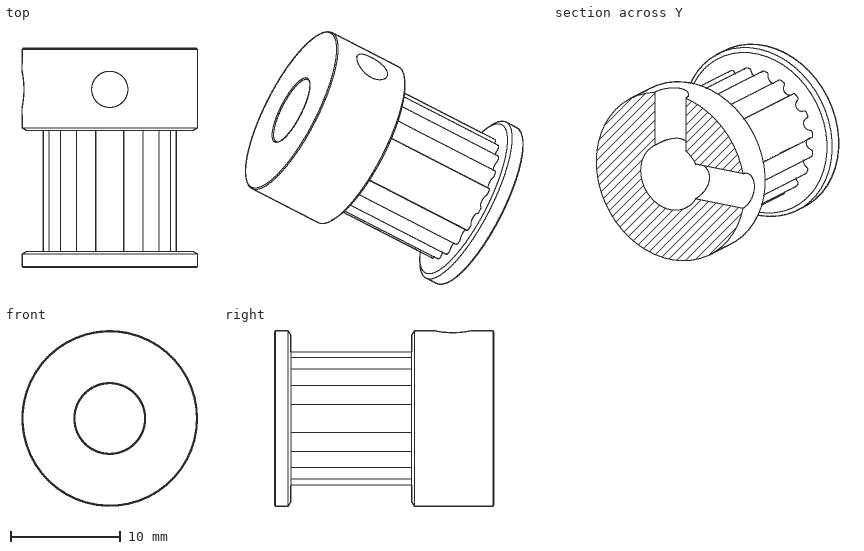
import cadquery as cq
import math


outer_diameter = 16.0
total_length = 20.0
hub_length = 7.5
flange_thickness = 1.5
bore_diameter = 6.35

end_chamfer = 0.1
bore_chamfer = 0.1
inner_chamfer_axial = 0.25
inner_chamfer_radial = 0.4

screw_hole_diameter = 3.3

tooth_count = 20
belt_pitch = 2.0
pitch_line_offset = 0.254
groove_depth = 0.75
groove_root_radius = 0.555
groove_flank_radius = 1.0
flank_center_offset = 0.4
tooth_tip_radius = 0.2

outer_radius = outer_diameter / 2
bore_radius = bore_diameter / 2
tooth_radius = tooth_count * belt_pitch / (2 * math.pi) - pitch_line_offset
flange_end = -total_length / 2
hub_end = total_length / 2
flange_inner_face = flange_end + flange_thickness
hub_inner_face = hub_end - hub_length
screw_hole_y = hub_end - hub_length / 2


def cylinder(diameter, start, end):
    """Cylinder along Y between two stations."""
    plane = cq.Workplane("XZ", origin=(0, start, 0))
    return plane.circle(diameter / 2).extrude(start - end)


def collar(end_face, inner_face):
    """Disc with a fine chamfer on its end face and a larger one facing the teeth."""
    inward = math.copysign(1, inner_face - end_face)
    return (
        cq.Workplane("XY")
        .moveTo(0, end_face)
        .lineTo(outer_radius - end_chamfer, end_face)
        .lineTo(outer_radius, end_face + inward * end_chamfer)
        .lineTo(outer_radius, inner_face - inward * inner_chamfer_axial)
        .lineTo(outer_radius - inner_chamfer_radial, inner_face)
        .lineTo(0, inner_face)
        .close()
        .revolve(360, (0, 0, 0), (0, 1, 0))
    )


def point_toward(start, target, distance):
    """Point at a distance from start along the line through target."""
    dx = target[0] - start[0]
    dz = target[1] - start[1]
    scale = distance / math.hypot(dx, dz)
    return (start[0] + dx * scale, start[1] + dz * scale)


def arc_middle(center, start, end, radius):
    """Point halfway along the minor arc from start to end."""
    chord_middle = ((start[0] + end[0]) / 2, (start[1] + end[1]) / 2)
    return point_toward(center, chord_middle, radius)


def mirrored(point):
    return (-point[0], point[1])


def groove_cutter():
    """Belt groove at +Z: root arc, two flank arcs and rounded tooth tips, all tangent."""
    axis = (0, 0)
    root_bottom = (0, tooth_radius - groove_depth)
    root_center = (0, root_bottom[1] + groove_root_radius)

    center_rise = math.sqrt((groove_flank_radius - groove_root_radius) ** 2 - flank_center_offset ** 2)
    flank_center = (-flank_center_offset, root_center[1] + center_rise)
    flank_start = point_toward(flank_center, root_center, groove_flank_radius)

    tip_orbit = tooth_radius - tooth_tip_radius
    flank_reach = groove_flank_radius + tooth_tip_radius
    flank_distance = math.hypot(*flank_center)
    cos_at_axis = (tip_orbit ** 2 + flank_distance ** 2 - flank_reach ** 2) / (2 * tip_orbit * flank_distance)
    tip_angle = math.atan2(*flank_center) + math.acos(cos_at_axis)
    tip_center = (tip_orbit * math.sin(tip_angle), tip_orbit * math.cos(tip_angle))
    flank_end = point_toward(flank_center, tip_center, groove_flank_radius)
    tip_end = point_toward(axis, tip_center, tooth_radius)

    flank_middle = arc_middle(flank_center, flank_start, flank_end, groove_flank_radius)
    tip_middle = arc_middle(tip_center, flank_end, tip_end, tooth_tip_radius)
    return (
        cq.Workplane("XZ", origin=(0, hub_inner_face, 0))
        .moveTo(*mirrored(tip_end))
        .threePointArc(mirrored(tip_middle), mirrored(flank_end))
        .threePointArc(mirrored(flank_middle), mirrored(flank_start))
        .threePointArc(root_bottom, flank_start)
        .threePointArc(flank_middle, flank_end)
        .threePointArc(tip_middle, tip_end)
        .threePointArc((0, tooth_radius), mirrored(tip_end))
        .close()
        .extrude(hub_inner_face - flange_inner_face)
    )


def toothed_barrel():
    barrel = cylinder(2 * tooth_radius, flange_inner_face, hub_inner_face)
    cutter = groove_cutter()
    for index in range(tooth_count):
        angle = index * 360 / tooth_count
        barrel = barrel.cut(cutter.rotate((0, 0, 0), (0, 1, 0), angle))
    return barrel


def bore_cutter():
    """Through bore, widened by a chamfer at each end."""
    mouth_radius = bore_radius + bore_chamfer
    return (
        cq.Workplane("XY")
        .moveTo(0, flange_end)
        .lineTo(mouth_radius, flange_end)
        .lineTo(bore_radius, flange_end + bore_chamfer)
        .lineTo(bore_radius, hub_end - bore_chamfer)
        .lineTo(mouth_radius, hub_end)
        .lineTo(0, hub_end)
        .close()
        .revolve(360, (0, 0, 0), (0, 1, 0))
    )


def screw_hole(plane_name, direction):
    """Radial hole from the pulley axis out through one side of the hub."""
    plane = cq.Workplane(plane_name, origin=(0, screw_hole_y, 0))
    return plane.circle(screw_hole_diameter / 2).extrude(direction * outer_diameter)


hub = collar(hub_end, hub_inner_face)
flange = collar(flange_end, flange_inner_face)
result = hub.union(toothed_barrel()).union(flange)
result = result.cut(bore_cutter())
result = result.cut(screw_hole("XY", 1))
result = result.cut(screw_hole("YZ", -1))